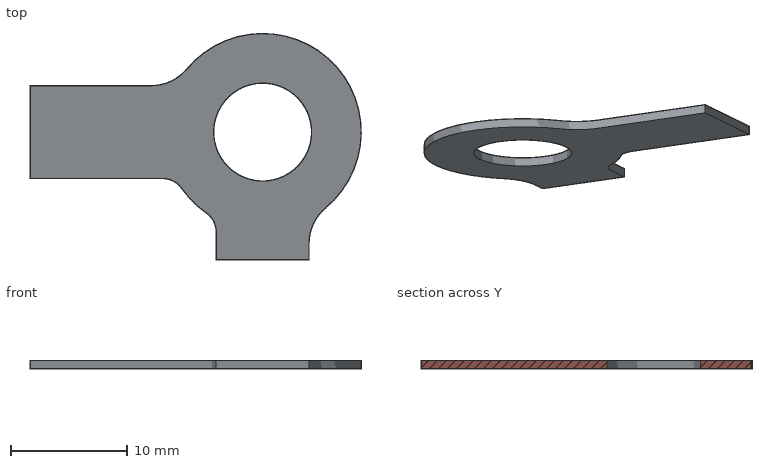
import cadquery as cq

total_length = 28.5
total_width = 19.5
thickness = 0.75
ring_diameter = 17.0
hole_diameter = 8.4
tab_width = 8.0
inner_corner_radius = 2.0
outer_corner_radius = 4.0

ring_radius = ring_diameter / 2
long_tab_reach = total_length - ring_radius
short_tab_reach = total_width - ring_radius
half_tab = tab_width / 2


def fillet_corner(plate, x, y, radius):
    """Round the vertical edge where a tab side meets the ring at (x, y)."""
    margin = 0.15
    corner_box = cq.selectors.BoxSelector(
        (x - margin, y - margin, -margin),
        (x + margin, y + margin, thickness + margin),
    )
    return plate.edges("|Z").edges(corner_box).fillet(radius)


disc = cq.Workplane("XY").circle(ring_radius).extrude(thickness)
long_tab = cq.Workplane("XY").box(
    long_tab_reach, tab_width, thickness, centered=(False, True, False)
).translate((-long_tab_reach, 0, 0))
short_tab = cq.Workplane("XY").box(
    tab_width, short_tab_reach, thickness, centered=(True, False, False)
).translate((0, -short_tab_reach, 0))
plate = disc.union(long_tab).union(short_tab)

corner_offset = (ring_radius**2 - half_tab**2) ** 0.5
plate = fillet_corner(plate, -corner_offset, half_tab, outer_corner_radius)
plate = fillet_corner(plate, -corner_offset, -half_tab, inner_corner_radius)
plate = fillet_corner(plate, -half_tab, -corner_offset, inner_corner_radius)
plate = fillet_corner(plate, half_tab, -corner_offset, outer_corner_radius)

bolt_hole = cq.Workplane("XY").circle(hole_diameter / 2).extrude(thickness)
result = plate.cut(bolt_hole)